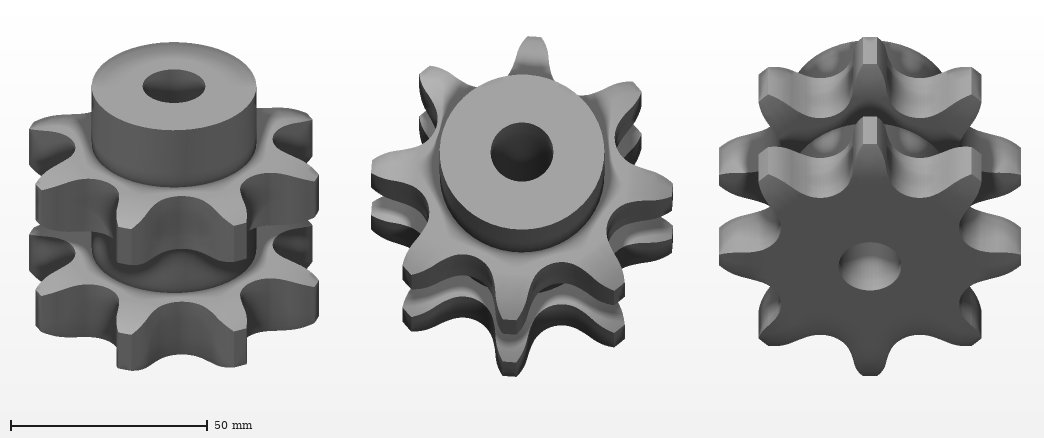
import cadquery as cq
import math

overall_width = 72.4
total_height = 65.0
tooth_count = 8
chain_pitch = 25.4
roller_diameter = 15.85
seat_clearance = 0.0385

wheel_thickness = 15.9
wheel_spacing = 31.85
hub_diameter = 42.0
bore_diameter = 16.0

rim_start_radius = 27.2
rim_drop = 2.5


def polar(radius, angle, center=(0, 0)):
    """Point at a radius and an angle around a center."""
    return (center[0] + radius * math.cos(angle), center[1] + radius * math.sin(angle))


def mirrored(point):
    """Mirror image of a point in the middle line of the tooth gap."""
    return (-point[0], point[1])


half_tooth_angle = math.pi / tooth_count
pitch_radius = chain_pitch / 2 / math.sin(half_tooth_angle)
seat_center = (0, pitch_radius)
seat_radius = 0.5025 * roller_diameter + seat_clearance
seat_end_angle = -math.radians(35 + 60 / tooth_count)
seat_bottom = (0, pitch_radius - seat_radius)
seat_end = polar(seat_radius, seat_end_angle, seat_center)

working_sweep = math.radians(18 - 56 / tooth_count)
working_end_angle = seat_end_angle + working_sweep
working_offset = 0.8 * roller_diameter
working_radius = working_offset + seat_radius
working_center = polar(-working_offset, seat_end_angle, seat_center)
working_middle = polar(working_radius, seat_end_angle + working_sweep / 2, working_center)
working_end = polar(working_radius, working_end_angle, working_center)

topping_center = polar(1.4 * roller_diameter, -half_tooth_angle, seat_center)
reach_x = topping_center[0] - working_end[0]
reach_y = topping_center[1] - working_end[1]
topping_radius = reach_x * math.cos(working_end_angle) + reach_y * math.sin(working_end_angle)
flat_end = polar(-topping_radius, working_end_angle, topping_center)

topping_start_angle = math.pi + working_end_angle
tip_rise = overall_width / 2 - topping_center[1]
topping_end_angle = math.pi - math.asin(tip_rise / topping_radius)
topping_middle_angle = (topping_start_angle + topping_end_angle) / 2
topping_middle = polar(topping_radius, topping_middle_angle, topping_center)
tip = polar(topping_radius, topping_end_angle, topping_center)
tip_radius = math.hypot(*tip)


def make_tooth_gap():
    """Cutter for the gap centered on +Y, opening past the tip circle."""
    overshoot = 1.1
    outside = (overshoot * tip[0], overshoot * tip[1])
    return (
        cq.Workplane("XY")
        .moveTo(*outside)
        .lineTo(*tip)
        .threePointArc(topping_middle, flat_end)
        .lineTo(*working_end)
        .threePointArc(working_middle, seat_end)
        .threePointArc(seat_bottom, mirrored(seat_end))
        .threePointArc(mirrored(working_middle), mirrored(working_end))
        .lineTo(*mirrored(flat_end))
        .threePointArc(mirrored(topping_middle), mirrored(tip))
        .lineTo(*mirrored(outside))
        .close()
        .extrude(wheel_thickness)
    )


def make_blank():
    """Turned disc standing on Z = 0, with both side faces curving in toward the rim."""
    rim_width = tip_radius - rim_start_radius
    rim_curve_radius = (rim_width**2 + rim_drop**2) / (2 * rim_drop)
    half_sweep = math.asin(rim_width / rim_curve_radius) / 2
    middle_radius = rim_start_radius + rim_curve_radius * math.sin(half_sweep)
    middle_drop = rim_curve_radius * (1 - math.cos(half_sweep))
    lower_middle = (middle_radius, middle_drop)
    upper_middle = (middle_radius, wheel_thickness - middle_drop)
    return (
        cq.Workplane("XZ")
        .lineTo(rim_start_radius, 0)
        .threePointArc(lower_middle, (tip_radius, rim_drop))
        .lineTo(tip_radius, wheel_thickness - rim_drop)
        .threePointArc(upper_middle, (rim_start_radius, wheel_thickness))
        .lineTo(0, wheel_thickness)
        .close()
        .revolve(360, (0, 0, 0), (0, 1, 0))
    )


def make_wheel():
    """Toothed wheel: the blank with one gap cut per tooth."""
    wheel = make_blank()
    gap = make_tooth_gap()
    for index in range(tooth_count):
        wheel = wheel.cut(gap.rotate((0, 0, 0), (0, 0, 1), index * 360 / tooth_count))
    return wheel


lower_wheel = make_wheel()
upper_wheel = lower_wheel.translate((0, 0, wheel_spacing))
hub = cq.Workplane("XY").circle(hub_diameter / 2).extrude(total_height)
bore = cq.Workplane("XY").circle(bore_diameter / 2).extrude(total_height)

result = hub.union(lower_wheel).union(upper_wheel).cut(bore)